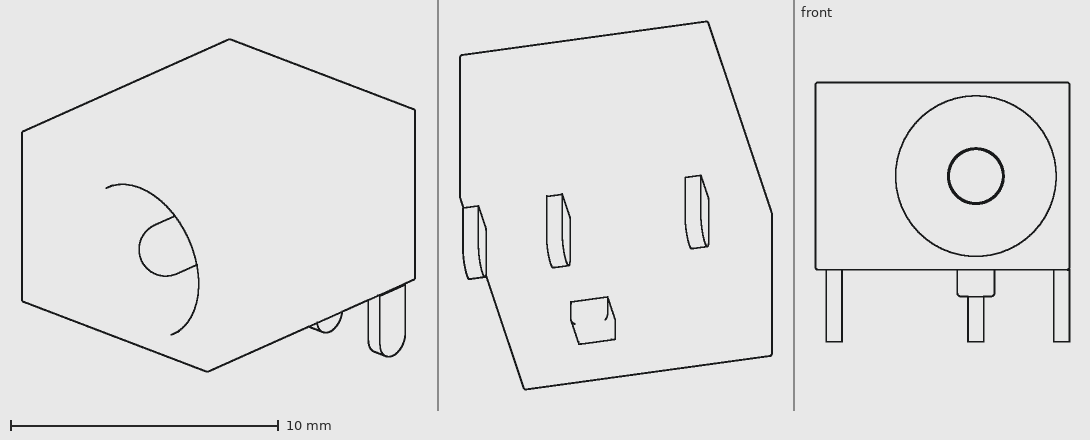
import cadquery as cq

LENGTH = 11.5
WIDTH = 9.5
HEIGHT = 7.0
EDGE_RADIUS = 0.1

SOCKET_DIAMETER = 6.0
SOCKET_DEPTH = 9.0

PEG_WIDTH = 1.4
PEG_HEIGHT = 1.0
PEG_EDGE_RADIUS = 0.15
PEG_Y = -1.75

LEG_THICKNESS = 0.6
LEG_WIDTH = 1.4
LEG_DROP = 2.69
LEG_Y = 4.45
LEFT_LEG_INSET = 0.4

PIN_DIAMETER = 2.0
PIN_TIP_DEPTH = 0.5
PIN_BORE_DIAMETER = 2.1

FRONT_Y = -LENGTH / 2
BOTTOM_Z = -HEIGHT / 2
SOCKET_X = WIDTH / 2 - HEIGHT / 2

LEFT_LEG_X = -WIDTH / 2 + LEFT_LEG_INSET + LEG_THICKNESS / 2
RIGHT_LEG_X = WIDTH / 2 - LEG_THICKNESS / 2

CONTACT_BACK_Y = LEG_Y + LEG_WIDTH / 2
SOCKET_FLOOR_Y = FRONT_Y + SOCKET_DEPTH


def cylinder_along_y(diameter, start_y, end_y):
    """Cylinder on the socket axis between two Y positions."""
    start = cq.Vector(SOCKET_X, start_y, 0)
    solid = cq.Solid.makeCylinder(diameter / 2, end_y - start_y, start, cq.Vector(0, 1, 0))
    return cq.Workplane(obj=solid)


def make_leg(center_x, top_z):
    """Flat leg with a full-round lower end, from top_z down to the leg tip."""
    radius = LEG_WIDTH / 2
    tip_z = BOTTOM_Z - LEG_DROP
    return (
        cq.Workplane("YZ", origin=(center_x - LEG_THICKNESS / 2, LEG_Y, 0))
        .moveTo(-radius, top_z)
        .lineTo(-radius, tip_z + radius)
        .threePointArc((0, tip_z), (radius, tip_z + radius))
        .lineTo(radius, top_z)
        .close()
        .extrude(LEG_THICKNESS)
    )


def make_center_contact():
    """Round-tipped pin joined to a leg that rises through the back wall to the pin axis."""
    tip_center_y = FRONT_Y + PIN_TIP_DEPTH + PIN_DIAMETER / 2
    shank = cylinder_along_y(PIN_DIAMETER, tip_center_y, CONTACT_BACK_Y)
    tip = cq.Workplane("XZ", origin=(SOCKET_X, tip_center_y, 0)).sphere(PIN_DIAMETER / 2)
    return shank.union(tip).union(make_leg(SOCKET_X, 0))


def make_peg():
    """Square locating peg with a rounded lower end."""
    return (
        cq.Workplane("XY", origin=(SOCKET_X, PEG_Y, BOTTOM_Z))
        .rect(PEG_WIDTH, PEG_WIDTH)
        .extrude(-PEG_HEIGHT)
        .faces("<Z")
        .edges()
        .fillet(PEG_EDGE_RADIUS)
    )


def make_housing(center_contact):
    """Rounded block with its socket and peg, recessed to fit the centre contact."""
    block = cq.Workplane("XY").box(WIDTH, LENGTH, HEIGHT).edges().fillet(EDGE_RADIUS)
    socket = cylinder_along_y(SOCKET_DIAMETER, FRONT_Y, SOCKET_FLOOR_Y)
    rounded_rim = block.cut(socket).faces("<Y").edges("%CIRCLE").fillet(EDGE_RADIUS)
    pin_bore = cylinder_along_y(PIN_BORE_DIAMETER, SOCKET_FLOOR_Y, CONTACT_BACK_Y)
    return rounded_rim.cut(pin_bore).union(make_peg()).cut(center_contact)


center_contact = make_center_contact()
housing = make_housing(center_contact)
side_legs = [make_leg(center_x, BOTTOM_Z) for center_x in (LEFT_LEG_X, RIGHT_LEG_X)]

result = cq.Compound.makeCompound(
    [housing.val(), center_contact.val(), *[leg.val() for leg in side_legs]]
)